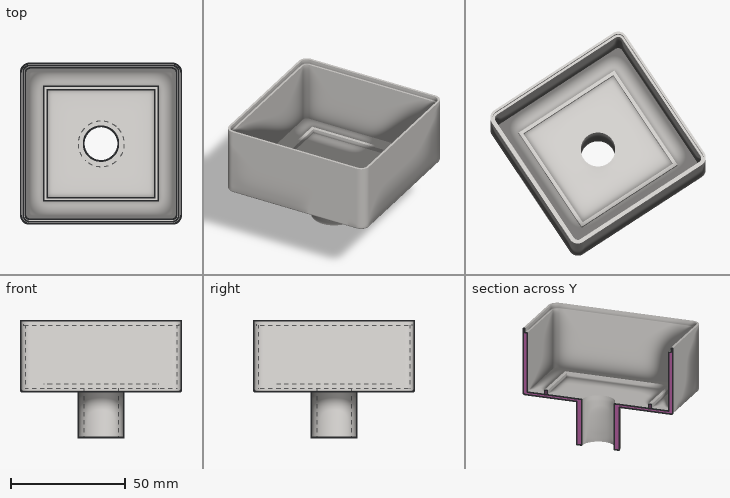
import cadquery as cq

tub_side = 70.0
tub_height = 31.0
tub_corner_radius = 4.0
bottom_fillet = 1.0
wall = 2.0
floor_thickness = 1.5

rim_step_width = 1.0
rim_step_depth = 2.0

tube_diameter = 20.0
bore_diameter = 15.01
tube_length = 20.0

frame_side = 50.0
frame_border = 1.5
frame_height = 2.0


def square_block(side, bottom, top):
    """Sharp-cornered square block, centred on Z."""
    return cq.Workplane("XY", origin=(0, 0, bottom)).rect(side, side).extrude(top - bottom)


def rounded_block(side, corner_radius, bottom, top):
    """Square block, centred on Z, with rounded vertical edges."""
    return square_block(side, bottom, top).edges("|Z").fillet(corner_radius)


def cylinder(diameter, bottom, top):
    """Upright cylinder on the Z axis."""
    return cq.Workplane("XY", origin=(0, 0, bottom)).circle(diameter / 2).extrude(top - bottom)


def make_tub():
    """Open box with a stepped rim and a drain tube bored through the floor."""
    outside = rounded_block(tub_side, tub_corner_radius, 0, tub_height)
    outside = outside.faces("<Z").edges().fillet(bottom_fillet)
    cavity = rounded_block(
        tub_side - 2 * wall,
        tub_corner_radius - wall,
        floor_thickness,
        tub_height,
    )
    rim_step = rounded_block(
        tub_side - 2 * rim_step_width,
        tub_corner_radius - rim_step_width,
        tub_height - rim_step_depth,
        tub_height,
    )
    tube = cylinder(tube_diameter, -tube_length, 0)
    bore = cylinder(bore_diameter, -tube_length, floor_thickness)
    return outside.cut(cavity).cut(rim_step).union(tube).cut(bore)


def make_frame():
    """Low square frame standing on the tub floor."""
    frame_top = floor_thickness + frame_height
    outside = square_block(frame_side, floor_thickness, frame_top)
    opening = square_block(frame_side - 2 * frame_border, floor_thickness, frame_top)
    return outside.cut(opening)


tub = make_tub()
frame = make_frame()
result = cq.Compound.makeCompound([tub.val(), frame.val()])